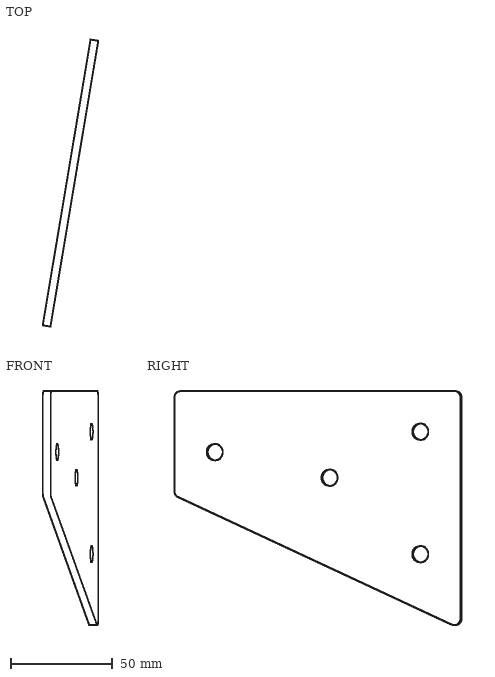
import cadquery as cq

length = 142.2
thickness = 4.0
short_edge = 51.3
long_edge = 116.7
corner_radius = 3.2
tilt = 9.5

hole_diameter = 8.0
edge_margin = 20.0
hole_centers = [
    (edge_margin, edge_margin),
    (edge_margin, 80.0),
    (65.1, 42.5),
    (length - edge_margin, 30.0),
]


def make_plate():
    """Trapezoid in the YZ plane, long edge at Y = 0, top edge at Z = 0."""
    outline = [
        (0, 0),
        (-length, 0),
        (-length, -short_edge),
        (0, -long_edge),
    ]
    plate = cq.Workplane("YZ").polyline(outline).close().extrude(thickness)
    return plate.edges("|X").fillet(corner_radius)


def make_holes():
    """Cylinders that pass through the full plate thickness."""
    points = [(-across, -down) for across, down in hole_centers]
    return cq.Workplane("YZ").pushPoints(points).circle(hole_diameter / 2).extrude(thickness)


flat_plate = make_plate().cut(make_holes())
tilted_plate = flat_plate.rotate((0, 0, 0), (0, 0, 1), -tilt)

center = tilted_plate.val().BoundingBox().center
result = tilted_plate.translate(center.multiply(-1))